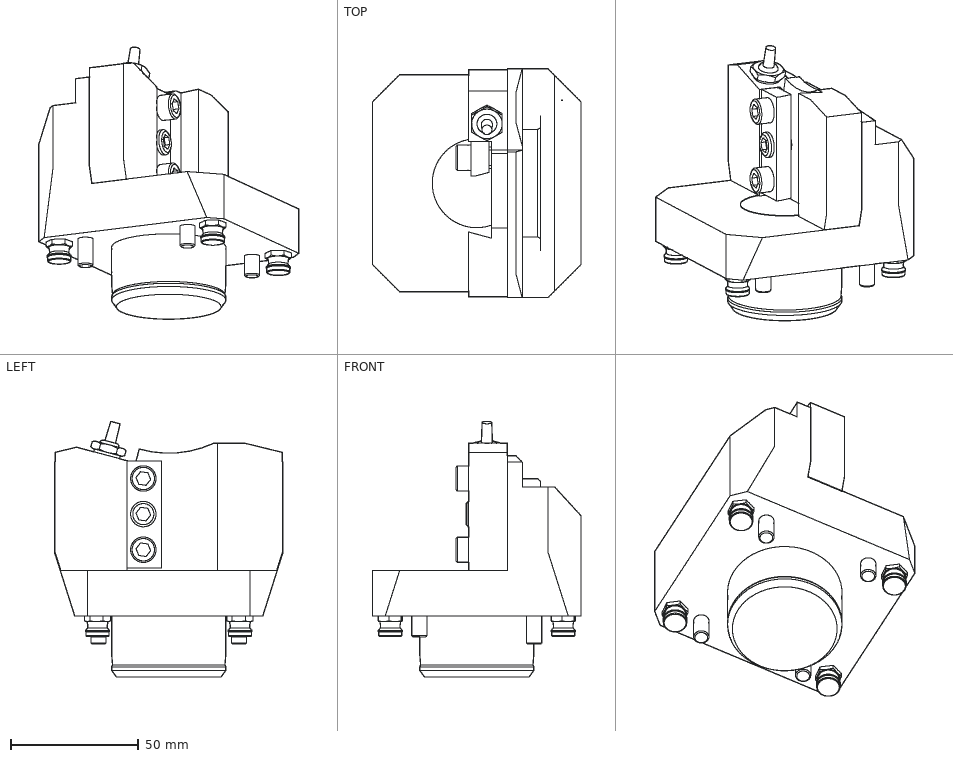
import cadquery as cq
import math

half_length = 41.0
half_width = 45.0
foot_half_width = 37.0
taper_height = 25.2
corner_sum = 73.0
base_top = 18.0
recess_diameter = 35.0
recess_depth = 0.2
shelf_top = 50.85
shelf_bevel_start_x = 30.6
shelf_bevel_bottom = 39.5
side_slope = math.radians(15)
bevel_angle = math.radians(30)

ridge_back_x = 18.0
ridge_top = 63.05
ridge_eave = 60.6
ridge_roof_start = 35.6
ridge_bevel = 2.6

plate_front_x = -3.2
plate_back_x = 12.0
plate_inset = 0.3
plate_top = 68.0
plate_eave = 64.33
plate_roof_start = 30.0
saddle_radius = 42.0
saddle_bottom = 64.1

seat_foot_y = 13.1
seat_peak_y = 36.3
ridge_seat_drop = 0.1

slot_floor_x = 5.85
slot_wall_y = 16.4
slot_mouth_y = -19.2

clamp_front_x = -2.2
clamp_back_x = 4.8
clamp_land = 1.6
clamp_free_y = 2.8
clamp_bottom = 18.9
clamp_top = 61.05
screw_y = 10.0
screw_middle_z = 40.1
screw_pitch = 14.0
screw_head_diameter = 10.0
screw_head_length = 6.0
screw_shank_diameter = 6.0
screw_chamfer = 0.6
jack_head_length = 2.0
jack_chamfer = 0.85
jack_shank_diameter = 8.4
socket_flats = 5.0
socket_depth = 3.0
socket_turn = 8.0
screw_embed = 2.0

key_back_x = 25.1
key_top = 54.1
key_half_width = 21.1
key_end_radius = 5.9
key_bevel = 1.2

nozzle_x = 4.0
nozzle_y = 24.4
collar_diameter = 10.6
collar_height = 1.1
collar_embed = 1.0
nut_flats = 12.0
nut_height = 3.1
dome_diameter = 7.8
dome_height = 1.2
dome_bulge = 0.35
tip_base_diameter = 4.4
tip_end_diameter = 3.9
overall_top = 76.61

spigot_diameter = 45.0
spigot_length = 24.0
spigot_taper_start = 15.0
spigot_taper_end = 19.2
spigot_relief = 0.35
spigot_band_start = 20.0
spigot_band_end = 21.3
spigot_nose_diameter = 41.2

pin_diameter = 6.0
pin_chamfer = 0.5
pin_x = 22.6
pin_y = 27.6
long_pin = 11.0
short_pin = 8.2
connector_x = 34.0
connector_y = 28.0
connector_hex_flats = 9.0
connector_hex_height = 2.2
connector_hex_turn = 24.0
connector_length = 8.0
connector_neck_radius = 4.1
connector_neck_end = 2.6
connector_waist_radius = 3.9
connector_waist_start = 3.4
connector_waist_end = 4.6
connector_flange_radius = 4.75
connector_flange_start = 5.7
connector_flange_end = 6.1
connector_nose_radius = 4.6
connector_nose_start = 6.25
connector_nose_chamfer = 0.3


def hexagon(flats):
    """Circumscribed diameter of a hexagon with the given size across flats."""
    return flats / math.cos(math.radians(30))


def across_y(points, x_start, x_end):
    """Extrude a (y, z) outline along X."""
    return cq.Workplane("YZ", origin=(x_start, 0, 0)).polyline(points).close().extrude(x_end - x_start)


def roof_height(y, top, eave, roof_start):
    """Height of a roof that falls from its flat top to the eave at the full half width."""
    return top - (top - eave) * (y - roof_start) / (half_width - roof_start)


def gable(inset, top, eave, roof_start, x_start, x_end):
    """Symmetric cross-section: tapered foot, upright sides and a flat-topped roof."""
    side = half_width - inset
    side_top = roof_height(side, top, eave, roof_start)
    right = [(foot_half_width - inset, 0), (side, taper_height), (side, side_top), (roof_start, top)]
    left = [(-y, z) for y, z in reversed(right)]
    return across_y(right + left, x_start, x_end)


def chamfered_plan(height):
    """Rectangle with 45 degree corner cuts, extruded upward."""
    cut = half_length + half_width - corner_sum
    plan = cq.Workplane("XY").rect(2 * half_length, 2 * half_width).extrude(height)
    return plan.edges("|Z").chamfer(cut)


def make_block():
    outline = [
        (-half_length, 0),
        (half_length, 0),
        (half_length, shelf_bevel_bottom),
        (shelf_bevel_start_x, shelf_top),
        (ridge_back_x, shelf_top),
        (ridge_back_x, ridge_top - ridge_bevel),
        (ridge_back_x - ridge_bevel, ridge_top),
        (plate_back_x, ridge_top),
        (plate_back_x, base_top),
        (-half_length, base_top),
    ]
    side = cq.Workplane("XZ").polyline(outline).close().extrude(half_width, both=True)
    section = gable(0, ridge_top, ridge_eave, ridge_roof_start, -half_length, half_length)
    block = side.intersect(section).intersect(chamfered_plan(ridge_top))
    recess = (
        cq.Workplane("XY", origin=(0, 0, base_top - recess_depth))
        .circle(recess_diameter / 2)
        .extrude(recess_depth)
    )
    behind = cq.Workplane("XY").box(
        half_length, recess_diameter, 2 * base_top, centered=(False, True, False)
    ).translate((plate_back_x, 0, 0))
    return block.cut(recess.cut(behind))


def make_plate():
    plate = gable(plate_inset, plate_top, plate_eave, plate_roof_start, plate_front_x, plate_back_x)
    thickness = plate_back_x - plate_front_x
    below = cq.Workplane("XY").box(
        2 * half_length, 2 * half_width, base_top - recess_depth, centered=(True, True, False)
    )
    saddle = (
        cq.Workplane("YZ", origin=(plate_front_x, 0, 0))
        .center(0, saddle_bottom + saddle_radius)
        .circle(saddle_radius)
        .extrude(thickness)
    )
    floor_y = slot_mouth_y - (slot_floor_x - plate_front_x) * math.tan(side_slope)
    slot_outline = [
        (plate_front_x, slot_mouth_y),
        (slot_floor_x, floor_y),
        (slot_floor_x, slot_wall_y),
        (plate_front_x, slot_wall_y),
    ]
    slot = cq.Workplane("XY").polyline(slot_outline).close().extrude(plate_top)
    return plate.cut(below).cut(saddle).cut(slot)


def seat_height(y):
    """Height of the tilted seat, whose upper end meets the plate's roof slope."""
    peak_z = roof_height(seat_peak_y, plate_top, plate_eave, plate_roof_start)
    return peak_z - (seat_peak_y - y) * math.tan(side_slope)


def make_seat_cut(drop, x_start, x_end):
    """Space above the seat, bounded by a wall square to it at the foot."""
    foot_z = seat_height(seat_foot_y) - drop
    reach = plate_top - foot_z
    outline = [
        (seat_foot_y, foot_z),
        (half_width, seat_height(half_width) - drop),
        (half_width, plate_top),
        (seat_foot_y - reach * math.tan(side_slope), plate_top),
    ]
    return across_y(outline, x_start, x_end)


def make_clamp():
    land_x = clamp_front_x + clamp_land
    outline = [
        (clamp_front_x, slot_wall_y),
        (clamp_front_x, clamp_free_y),
        (land_x, clamp_free_y),
        (clamp_back_x, clamp_free_y + (clamp_back_x - land_x) * math.tan(side_slope)),
        (clamp_back_x, slot_wall_y),
    ]
    bar = cq.Workplane("XY", origin=(0, 0, clamp_bottom)).polyline(outline).close()
    return bar.extrude(clamp_top - clamp_bottom)


def make_screw(z, head_length, chamfer, shank_diameter):
    """Socket screw along X with its head standing on the clamp."""
    face_x = clamp_front_x - head_length
    shank_length = slot_floor_x + screw_embed - clamp_front_x
    face = cq.Workplane("YZ", origin=(face_x, screw_y, z))
    head = face.circle(screw_head_diameter / 2).extrude(head_length).faces("<X").chamfer(chamfer)
    shank = (
        cq.Workplane("YZ", origin=(clamp_front_x, screw_y, z))
        .circle(shank_diameter / 2)
        .extrude(shank_length)
    )
    socket = face.transformed(rotate=(0, 0, socket_turn)).polygon(6, hexagon(socket_flats))
    return head.union(shank).cut(socket.extrude(socket_depth))


def make_key():
    """Raised key whose ends flare down to the shelf in concave arcs."""
    height = key_top - shelf_top
    arc_rise = key_end_radius - height
    flare = math.sqrt(key_end_radius**2 - arc_rise**2)
    end_y = key_half_width + flare
    blank = cq.Workplane("XY").box(
        key_back_x - ridge_back_x, 2 * end_y, height, centered=(False, True, False)
    ).translate((ridge_back_x, 0, shelf_top))
    for end in (-end_y, end_y):
        hollow = (
            cq.Workplane("YZ", origin=(ridge_back_x, end, shelf_top + key_end_radius))
            .circle(key_end_radius)
            .extrude(key_back_x - ridge_back_x)
        )
        blank = blank.cut(hollow)
    bevel = (
        cq.Workplane("XZ")
        .moveTo(key_back_x, key_top)
        .lineTo(key_back_x - key_bevel, key_top)
        .lineTo(key_back_x, key_top - key_bevel)
        .close()
        .extrude(end_y, both=True)
    )
    return blank.cut(bevel)


def bevelled_hex(flats, height, turn, both_ends):
    """Hexagonal prism with its corners turned off, at the top or at both ends."""
    corner = hexagon(flats) / 2
    trim = (corner - flats / 2) * math.tan(bevel_angle)
    foot = [(flats / 2, 0), (corner, trim)] if both_ends else [(corner, 0)]
    envelope = [(0, 0)] + foot + [(corner, height - trim), (flats / 2, height), (0, height)]
    prism = cq.Workplane("XY").polygon(6, 2 * corner).extrude(height)
    cone = cq.Workplane("XZ").polyline(envelope).close().revolve(360, (0, 0), (0, 1))
    return prism.intersect(cone).rotate((0, 0, 0), (0, 0, 1), turn)


def make_nozzle():
    """Collar, nut, dome and slim tip, standing square on the tilted seat."""
    seat_z = seat_height(nozzle_y)
    tip_radius = tip_end_diameter / 2
    edge_rise = tip_radius * math.sin(side_slope)
    total = (overall_top - seat_z - edge_rise) / math.cos(side_slope)
    nut_top = collar_height + nut_height
    dome_top = nut_top + dome_height
    dome_radius = dome_diameter / 2
    base_radius = tip_base_diameter / 2
    bulge = (
        (dome_radius + base_radius) / 2 + dome_bulge,
        (nut_top + dome_top) / 2 + dome_bulge,
    )
    collar = (
        cq.Workplane("XY", origin=(0, 0, -collar_embed))
        .circle(collar_diameter / 2)
        .extrude(collar_embed + collar_height)
    )
    nut = bevelled_hex(nut_flats, nut_height, 90, True).translate((0, 0, collar_height))
    tip = (
        cq.Workplane("XZ")
        .moveTo(0, 0)
        .lineTo(dome_radius, 0)
        .lineTo(dome_radius, nut_top)
        .threePointArc(bulge, (base_radius, dome_top))
        .lineTo(tip_radius, total)
        .lineTo(0, total)
        .close()
        .revolve(360, (0, 0), (0, 1))
    )
    nozzle = collar.union(nut).union(tip)
    tilted = nozzle.rotate((0, 0, 0), (1, 0, 0), math.degrees(side_slope))
    return tilted.translate((nozzle_x, nozzle_y, seat_z))


def make_spigot():
    radius = spigot_diameter / 2
    relief = radius - spigot_relief
    profile = [
        (0, 0),
        (radius, 0),
        (radius, -spigot_taper_start),
        (relief, -spigot_taper_end),
        (radius, -spigot_band_start),
        (radius, -spigot_band_end),
        (spigot_nose_diameter / 2, -spigot_length),
        (0, -spigot_length),
    ]
    return cq.Workplane("XZ").polyline(profile).close().revolve(360, (0, 0), (0, 1))


def make_pin(x, y, length):
    pin = cq.Workplane("XY", origin=(x, y, 0)).circle(pin_diameter / 2).extrude(-length)
    return pin.faces("<Z").chamfer(pin_chamfer)


def make_connector(x, y):
    """Hexagon with a waisted, flanged nose pointing down."""
    profile = [
        (0, 0),
        (connector_neck_radius, 0),
        (connector_neck_radius, -connector_neck_end),
        (connector_waist_radius, -connector_waist_start),
        (connector_waist_radius, -connector_waist_end),
        (connector_flange_radius, -connector_flange_start),
        (connector_flange_radius, -connector_flange_end),
        (connector_nose_radius, -connector_nose_start),
        (connector_nose_radius, connector_nose_chamfer - connector_length),
        (connector_nose_radius - connector_nose_chamfer, -connector_length),
        (0, -connector_length),
    ]
    nose = cq.Workplane("XZ").polyline(profile).close().revolve(360, (0, 0), (0, 1))
    nut = bevelled_hex(connector_hex_flats, connector_hex_height, -connector_hex_turn, False)
    nut = nut.rotate((0, 0, 0), (1, 0, 0), 180)
    return nose.union(nut).translate((x, y, 0))


plate_seat = make_seat_cut(0, plate_front_x, plate_back_x)
ridge_seat = make_seat_cut(ridge_seat_drop, plate_back_x, ridge_back_x)
result = make_block().union(make_plate()).cut(plate_seat).cut(ridge_seat)
result = result.union(make_clamp()).union(make_key()).union(make_nozzle()).union(make_spigot())
for z in (screw_middle_z - screw_pitch, screw_middle_z + screw_pitch):
    result = result.union(make_screw(z, screw_head_length, screw_chamfer, screw_shank_diameter))
result = result.union(make_screw(screw_middle_z, jack_head_length, jack_chamfer, jack_shank_diameter))
for side in (-1, 1):
    result = result.union(make_pin(-pin_x, side * pin_y, short_pin))
    result = result.union(make_pin(pin_x, side * pin_y, long_pin))
    for end in (-1, 1):
        result = result.union(make_connector(end * connector_x, side * connector_y))